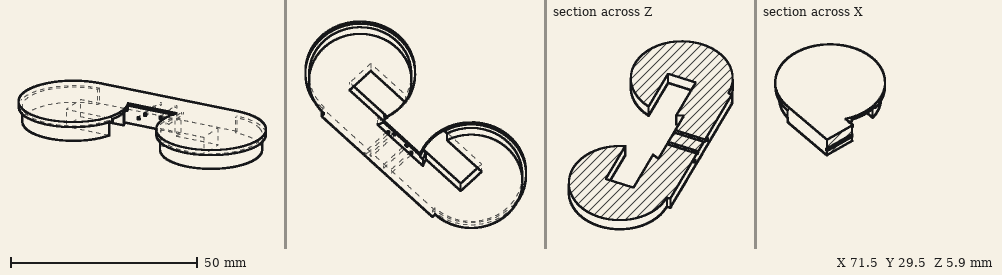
import cadquery as cq

total_height = 5.9
disc_spacing = 42.0
plate_radius = 14.765
plate_thickness = 1.5
body_radius = 13.75

bridge_depth = 9.0
lip_height = 0.7
lip_overhang = 0.15

slot_width = 8.0
slot_roof = 0.92

hole_diameter = 0.7
hole_positions = [(2.35, 2.4), (4.33, 3.85)]

disc_x = disc_spacing / 2
bridge_front_y = plate_radius - bridge_depth
sides = (-1, 1)


def discs(radius, height):
    """Two round discs, hanging down from the top plane Z = 0."""
    centres = [(side * disc_x, 0) for side in sides]
    return cq.Workplane("XY").pushPoints(centres).circle(radius).extrude(-height)


def bridge_block(front_y, height):
    """Block between the disc centres, from front_y to the back of the plate, hanging down from Z = 0."""
    depth = plate_radius - front_y
    block = cq.Workplane("XY").box(disc_spacing, depth, height, centered=(True, False, False))
    return block.translate((0, front_y, -height))


def bridge():
    """Thin lip on top of a slightly set-back wall of full height."""
    lip = bridge_block(bridge_front_y, lip_height)
    wall = bridge_block(bridge_front_y + lip_overhang, total_height)
    return lip.union(wall)


def slots():
    """One cutter reaching from disc centre to disc centre."""
    height = total_height - slot_roof
    cutter = cq.Workplane("XY").box(disc_spacing, slot_width, height, centered=(True, True, False))
    return cutter.translate((0, 0, -total_height))


def bridge_holes():
    """Drills along Y, mirrored about the middle of the bridge."""
    points = [(side * x, -depth) for side in sides for x, depth in hole_positions]
    drills = cq.Workplane("XZ").pushPoints(points).circle(hole_diameter / 2).extrude(-plate_radius)
    return drills.translate((0, bridge_front_y, 0))


plate = discs(plate_radius, plate_thickness)
bodies = discs(body_radius, total_height)
result = plate.union(bodies).union(bridge()).cut(slots()).cut(bridge_holes())